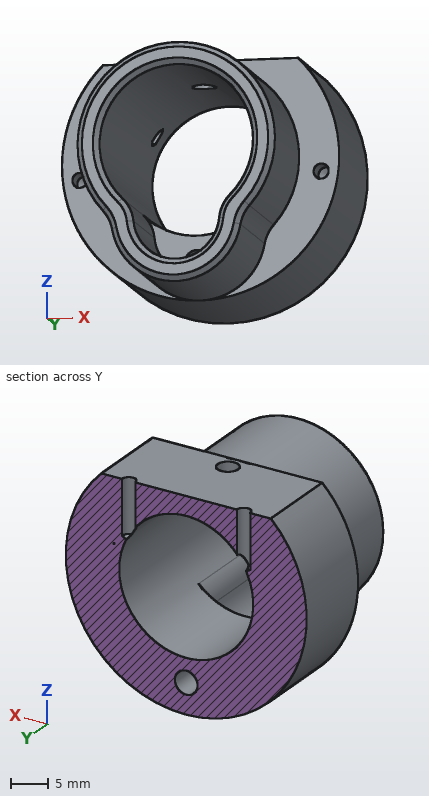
import cadquery as cq
import math

body_radius = 18.98
flat_height = 13.5
body_length = 18.0
total_length = 34.0
sleeve_length = total_length - body_length

bore_radius = 21.0 / 2
sleeve_radius = flat_height
lobe_drop = 10.05
lobe_outer_radius = body_radius - lobe_drop
lobe_inner_radius = 5.9
neck_radius = 5.0
rim_chamfer = 0.75
pocket_depth = 14.0

lobe_hole_diameter = 3.5
lobe_hole_drop = lobe_drop + lobe_inner_radius - lobe_hole_diameter / 2
small_hole_diameter = 2.05
top_hole_spacing = 18.05
top_hole_depth = 8.43
top_hole_from_back = 4.97
center_hole_diameter = 3.2
center_hole_from_back = 15.55
face_hole_spacing = 33.03
face_hole_drop = 2.0
face_hole_depth = 3.05
drill_tip_angle = 118.0

front_y = -sleeve_length
back_y = body_length


def keyhole(main_radius, lobe_radius, start_y, length):
    """Two circles joined by concave tangent arcs, extruded toward +Y."""
    main_side = main_radius + neck_radius
    lobe_side = lobe_radius + neck_radius
    neck_z = -(main_side**2 + lobe_drop**2 - lobe_side**2) / (2 * lobe_drop)
    neck_x = math.sqrt(main_side**2 - neck_z**2)
    to_main = main_radius / main_side
    to_lobe = lobe_radius / lobe_side
    main_x = neck_x * to_main
    main_z = neck_z * to_main
    lobe_x = neck_x * to_lobe
    lobe_z = -lobe_drop + (neck_z + lobe_drop) * to_lobe

    chord_x = (main_x + lobe_x) / 2 - neck_x
    chord_z = (main_z + lobe_z) / 2 - neck_z
    reach = neck_radius / math.hypot(chord_x, chord_z)
    mid_x = neck_x + chord_x * reach
    mid_z = neck_z + chord_z * reach

    return (
        cq.Workplane("XZ", origin=(0, start_y, 0))
        .moveTo(-main_x, main_z)
        .threePointArc((0, main_radius), (main_x, main_z))
        .threePointArc((mid_x, mid_z), (lobe_x, lobe_z))
        .threePointArc((0, -lobe_drop - lobe_radius), (-lobe_x, lobe_z))
        .threePointArc((-mid_x, mid_z), (-main_x, main_z))
        .close()
        .extrude(-length)
    )


def cylinder_along_y(radius, x, z, start_y, length):
    return cq.Workplane("XZ", origin=(x, start_y, z)).circle(radius).extrude(-length)


def drilled_hole(depth):
    """Blind small hole with a conical tip, entering at the origin toward +Y."""
    radius = small_hole_diameter / 2
    tip_length = radius / math.tan(math.radians(drill_tip_angle / 2))
    profile = (
        cq.Workplane("XY")
        .polyline([(0, 0), (radius, 0), (radius, depth), (0, depth + tip_length)])
        .close()
    )
    return profile.revolve(360, (0, 0, 0), (0, 1, 0))


def top_hole(x):
    """Small hole going down from the flat, its tip just breaking into the bore."""
    downward = drilled_hole(top_hole_depth).rotate((0, 0, 0), (1, 0, 0), -90)
    return downward.translate((x, back_y - top_hole_from_back, flat_height))


def face_hole(x):
    """Small hole entering the shoulder face."""
    return drilled_hole(face_hole_depth).translate((x, 0, -face_hole_drop))


body = cylinder_along_y(body_radius, 0, 0, 0, body_length)
below_flat = (
    cq.Workplane("XY", origin=(0, 0, flat_height))
    .rect(2 * body_radius, 2 * body_length)
    .extrude(-flat_height - body_radius)
)
body = body.intersect(below_flat)

sleeve = keyhole(sleeve_radius, lobe_outer_radius, front_y, sleeve_length)
sleeve = sleeve.faces("<Y").chamfer(rim_chamfer)
result = body.union(sleeve)

result = result.cut(cylinder_along_y(bore_radius, 0, 0, front_y, total_length))
result = result.cut(keyhole(bore_radius, lobe_inner_radius, front_y, pocket_depth))
rim_face = result.faces("<Y").val()
inner_rim = rim_face.innerWires()[0].Edges()
result = result.newObject(inner_rim).chamfer(rim_chamfer)

lobe_hole = cylinder_along_y(lobe_hole_diameter / 2, 0, -lobe_hole_drop, front_y, total_length)
result = result.cut(lobe_hole)

for side in (-1, 1):
    result = result.cut(top_hole(side * top_hole_spacing / 2))
    result = result.cut(face_hole(side * face_hole_spacing / 2))

center_hole = (
    cq.Workplane("XY", origin=(0, back_y - center_hole_from_back, flat_height))
    .circle(center_hole_diameter / 2)
    .extrude(-flat_height)
)
result = result.cut(center_hole)